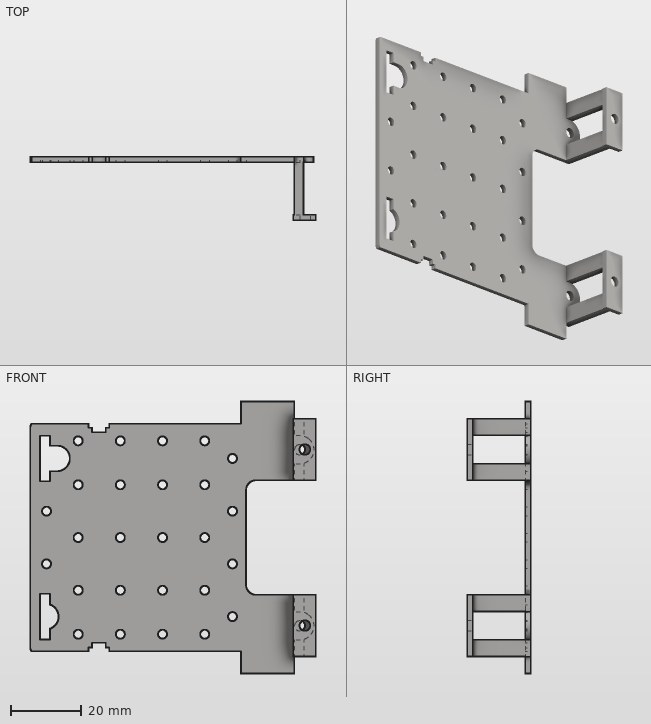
import cadquery as cq
import math

LENGTH = 81.35
DEPTH = 18.09
HEIGHT = 77.4
THICKNESS = 1.6

BODY_HEIGHT = 64.8
CORNER_RADIUS = 2.0
CORNER_DROP = 1.25
WING_LEFT = 60.0
WING_RIGHT = 75.2
MOUTH_LEFT = 61.5
MOUTH_HEIGHT = 32.5
MOUTH_RADIUS = 2.75

NOTCH_X = 19.6
NOTCH_STEPS = ((5.8, 1.1), (3.8, 2.4))

SLOT_LEFT = 2.9
SLOT_WIDTH = 2.75
SLOT_HEIGHT = 12.9
SLOT_Z = 22.5
BULGE_RADIUS = 3.6
UPPER_BULGE_X = 7.7
LOWER_BULGE_X = 4.5

HOLE_DIAMETER = 2.5
GRID_LEFT = 13.7
GRID_PITCH = 12.0
GRID_COLUMNS = 4
GRID_ROWS = (-27.5, -15.0, 0.0, 15.0, 27.5)
LEFT_HOLES_X = 4.7
LEFT_HOLES_Z = (-7.5, 7.5)
RIGHT_HOLES_X = 57.6
RIGHT_HOLES_Z = (-22.5, -7.5, 7.5, 22.5)

BRACKET_HEIGHT = 17.6
BRACKET_Z = (MOUTH_HEIGHT + BRACKET_HEIGHT) / 2
ARM_LEFT = 75.1
ARM_WIDTH = 2.7
ARM_HEIGHT = 4.8
FLANGE_LEFT = 74.85
FLANGE_THICKNESS = 1.6
FLANGE_HOLE_X = 78.2
LUG_RADIUS = 4.0
LUG_X = 76.7
BRACKET_HOLE_DIAMETER = 3.0


def box(x_min, x_max, y_min, y_max, z_center, height):
    """Block between two X and two Y limits, centred on z_center."""
    return (
        cq.Workplane("XY")
        .box(x_max - x_min, y_max - y_min, height)
        .translate(((x_min + x_max) / 2, (y_min + y_max) / 2, z_center))
    )


def plate_box(x_min, x_max, z_center, height):
    """Block as thick as the plate."""
    return box(x_min, x_max, -THICKNESS, 0, z_center, height)


def rod(x, z, diameter, depth=THICKNESS):
    """Cylinder along Y that starts at the plate's rear face and runs forward."""
    return cq.Workplane("XZ").center(x, z).circle(diameter / 2).extrude(depth)


def round_cornered_body():
    """Main rectangle; its left corners are arcs that meet the long edges at an angle."""
    edge_z = BODY_HEIGHT / 2
    corner_inset = CORNER_RADIUS - math.sqrt(CORNER_RADIUS**2 - CORNER_DROP**2)
    return (
        cq.Workplane("XZ")
        .moveTo(corner_inset, edge_z)
        .lineTo(WING_RIGHT, edge_z)
        .lineTo(WING_RIGHT, -edge_z)
        .lineTo(corner_inset, -edge_z)
        .radiusArc((0, CORNER_DROP - edge_z), CORNER_RADIUS)
        .lineTo(0, edge_z - CORNER_DROP)
        .radiusArc((corner_inset, edge_z), CORNER_RADIUS)
        .close()
        .extrude(THICKNESS)
    )


def plate_outline():
    """Main plate with its wings, the open mouth between them and the edge notches."""
    mouth = plate_box(MOUTH_LEFT, LENGTH, 0, MOUTH_HEIGHT).edges("|Y and <X").fillet(MOUTH_RADIUS)
    plate = round_cornered_body().union(plate_box(WING_LEFT, WING_RIGHT, 0, HEIGHT)).cut(mouth)
    for width, depth in NOTCH_STEPS:
        for side in (-1, 1):
            edge_z = side * BODY_HEIGHT / 2
            plate = plate.cut(plate_box(NOTCH_X - width / 2, NOTCH_X + width / 2, edge_z, 2 * depth))
    return plate


def bulged_slot(z, bulge_x):
    """Upright slot with a round-ended bulge reaching to the right."""
    slot_right = SLOT_LEFT + SLOT_WIDTH
    slot = plate_box(SLOT_LEFT, slot_right, z, SLOT_HEIGHT)
    slot = slot.union(rod(bulge_x, z, 2 * BULGE_RADIUS))
    if bulge_x > slot_right:
        slot = slot.union(plate_box(SLOT_LEFT, bulge_x, z, 2 * BULGE_RADIUS))
    return slot.intersect(plate_box(SLOT_LEFT, LENGTH, z, SLOT_HEIGHT))


def hole_centers():
    """X and Z of every small hole in the plate."""
    columns = [GRID_LEFT + i * GRID_PITCH for i in range(GRID_COLUMNS)]
    grid = [(x, z) for x in columns for z in GRID_ROWS]
    left = [(LEFT_HOLES_X, z) for z in LEFT_HOLES_Z]
    right = [(RIGHT_HOLES_X, z) for z in RIGHT_HOLES_Z]
    return grid + left + right


def add_bracket(part, z):
    """Add the lug, arms and flange of one bracket, then drill its lug and flange."""
    part = part.union(rod(LUG_X, z, 2 * LUG_RADIUS))
    part = part.union(plate_box(WING_LEFT, LUG_X, z, 2 * LUG_RADIUS))
    for side in (-1, 1):
        arm_z = z + side * (BRACKET_HEIGHT - ARM_HEIGHT) / 2
        part = part.union(box(ARM_LEFT, ARM_LEFT + ARM_WIDTH, -DEPTH, 0, arm_z, ARM_HEIGHT))
    part = part.union(box(FLANGE_LEFT, LENGTH, -DEPTH, FLANGE_THICKNESS - DEPTH, z, BRACKET_HEIGHT))
    part = part.cut(rod(LUG_X, z, BRACKET_HOLE_DIAMETER))
    flange_hole = rod(FLANGE_HOLE_X, z, BRACKET_HOLE_DIAMETER, DEPTH)
    return part.cut(flange_hole.translate((0, -THICKNESS, 0)))


result = plate_outline()
result = result.cut(bulged_slot(SLOT_Z, UPPER_BULGE_X))
result = result.cut(bulged_slot(-SLOT_Z, LOWER_BULGE_X))
for hole_x, hole_z in hole_centers():
    result = result.cut(rod(hole_x, hole_z, HOLE_DIAMETER))
for bracket_z in (-BRACKET_Z, BRACKET_Z):
    result = add_bracket(result, bracket_z)